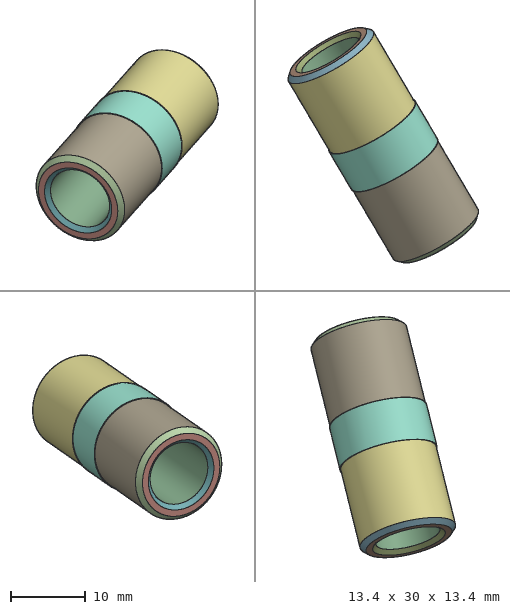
import cadquery as cq

length = 30.0
body_diameter = 13.17
bore_diameter = 8.8
outer_chamfer = 0.7
bore_chamfer = 0.6

band_diameter = 13.38
band_width = 6.1


def cylinder_along_y(diameter, width):
    """Solid cylinder on the Y axis, centred on the origin."""
    start = cq.Workplane("XZ").workplane(offset=-width / 2)
    return start.circle(diameter / 2).extrude(width)


def chamfered_bore():
    """Through bore, widened by a chamfer at each mouth."""
    bore_radius = bore_diameter / 2
    mouth_radius = bore_radius + bore_chamfer
    end = length / 2
    chamfer_start = end - bore_chamfer
    half_section = [
        (0, -end),
        (mouth_radius, -end),
        (bore_radius, -chamfer_start),
        (bore_radius, chamfer_start),
        (mouth_radius, end),
        (0, end),
    ]
    return cq.Workplane("XY").polyline(half_section).close().revolve(360, (0, 0), (0, 1))


body = cylinder_along_y(body_diameter, length).faces("<Y or >Y").chamfer(outer_chamfer)
band = cylinder_along_y(band_diameter, band_width)

result = body.union(band).cut(chamfered_bore())